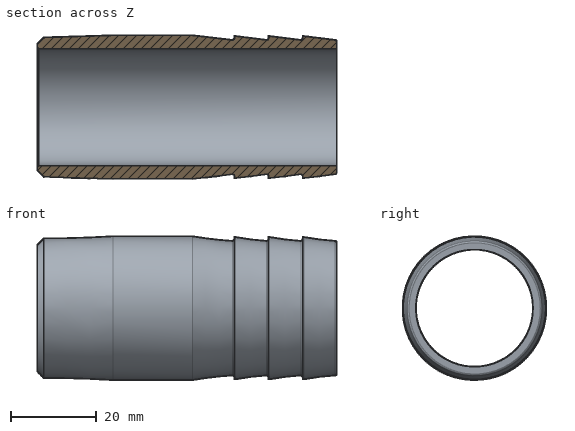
import cadquery as cq

length = 70.0
body_diameter = 33.7
bore_diameter = 27.3
bore_chamfer = 0.35

entry_diameter = 32.7
entry_chamfer = 1.55
taper_length = 17.65

body_end = 36.25
barb_count = 3
barb_pitch = 8.0
barb_root_diameter = 31.5
barb_crest_diameter = 33.3
barb_root_fillet = 0.5
barb_crest_flat = 0.2
tip_fillet = 0.4

body_radius = body_diameter / 2
bore_radius = bore_diameter / 2
entry_radius = entry_diameter / 2
root_radius = barb_root_diameter / 2
crest_radius = barb_crest_diameter / 2
barb_walls = [length - barb_pitch * n for n in range(barb_count, 0, -1)]


def add_barb(profile, wall):
    """Rise from the root to the crest at X = wall; the next segment falls back to the root."""
    return (
        profile.lineTo(wall - barb_root_fillet, root_radius)
        .radiusArc((wall, root_radius + barb_root_fillet), -barb_root_fillet)
        .lineTo(wall, crest_radius)
        .lineTo(wall + barb_crest_flat, crest_radius)
    )


profile = (
    cq.Workplane("XY")
    .moveTo(bore_chamfer, bore_radius)
    .lineTo(0, bore_radius + bore_chamfer)
    .lineTo(0, entry_radius - entry_chamfer)
    .lineTo(entry_chamfer, entry_radius)
    .lineTo(taper_length, body_radius)
    .lineTo(body_end, body_radius)
)
for barb_wall in barb_walls:
    profile = add_barb(profile, barb_wall)
profile = (
    profile.lineTo(length - tip_fillet, root_radius)
    .radiusArc((length, root_radius - tip_fillet), tip_fillet)
    .lineTo(length, bore_radius)
    .close()
)

result = profile.revolve(360, (0, 0, 0), (1, 0, 0))